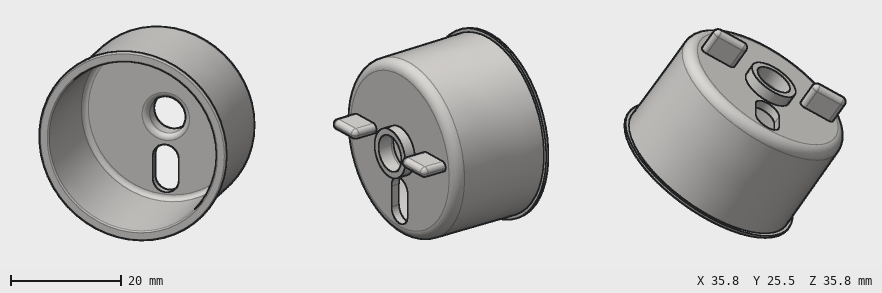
import cadquery as cq

flange_radius = 17.9
flange_thickness = 0.68
flange_round = 0.3
cup_length = 20.5
mouth_radius = 17.22
end_radius = 17.05
wall = 1.18
floor_thickness = 1.7
lip_round = 0.3
end_round = 2.0
inner_round = 1.0

boss_radius = 4.7
boss_top = 22.65
bore_radius = 3.47
bore_round = 1.07

slot_width = 4.98
slot_length = 9.05
slot_center_z = -9.95

tab_width = 7.02
tab_thickness = 2.0
tab_top = 25.5
tab_offset_x = 10.55
tab_center_z = 1.58
tab_round = 0.499 * tab_thickness

floor_y = cup_length - floor_thickness


def drafted_cylinder(start_radius, stop_radius, length):
    """Revolve a slightly tapered solid about the Y axis, starting at Y = 0."""
    return (
        cq.Workplane("XY")
        .polyline([(0, 0), (start_radius, 0), (stop_radius, length), (0, length)])
        .close()
        .revolve(360, (0, 0, 0), (0, 1, 0))
    )


def cylinder(radius, start_y, stop_y):
    """Make a straight cylinder on the Y axis."""
    return cq.Workplane("XZ", origin=(0, start_y, 0)).circle(radius).extrude(start_y - stop_y)


def make_cup():
    shell = drafted_cylinder(mouth_radius, end_radius, cup_length).faces(">Y").edges().fillet(end_round)
    flange = cylinder(flange_radius, 0, flange_thickness).faces("<Y").edges().fillet(flange_round)
    cavity = drafted_cylinder(mouth_radius - wall, end_radius - wall, floor_y)
    cavity = cavity.faces(">Y").edges().fillet(inner_round)
    cup = shell.union(flange).cut(cavity)
    return cup.faces("<Y").edges(cq.selectors.RadiusNthSelector(0)).fillet(lip_round)


def make_bore():
    """Bore with a convex quarter-round flare at the cup floor."""
    return (
        cq.Workplane("XY")
        .moveTo(0, floor_y)
        .lineTo(bore_radius + bore_round, floor_y)
        .radiusArc((bore_radius, floor_y + bore_round), bore_round)
        .lineTo(bore_radius, boss_top)
        .lineTo(0, boss_top)
        .close()
        .revolve(360, (0, 0, 0), (0, 1, 0))
    )


def make_slot():
    return (
        cq.Workplane("XZ", origin=(0, floor_y, slot_center_z))
        .slot2D(slot_length, slot_width, 90)
        .extrude(-floor_thickness)
    )


def make_tab(center_x):
    tab_length = tab_top - floor_y - floor_thickness / 2
    return (
        cq.Workplane("XY")
        .box(tab_width, tab_length, tab_thickness)
        .edges("|Y or >Y")
        .fillet(tab_round)
        .translate((center_x, tab_top - tab_length / 2, tab_center_z))
    )


result = make_cup().union(cylinder(boss_radius, floor_y, boss_top))
result = result.cut(make_bore()).cut(make_slot())
for side in (-1, 1):
    result = result.union(make_tab(side * tab_offset_x))